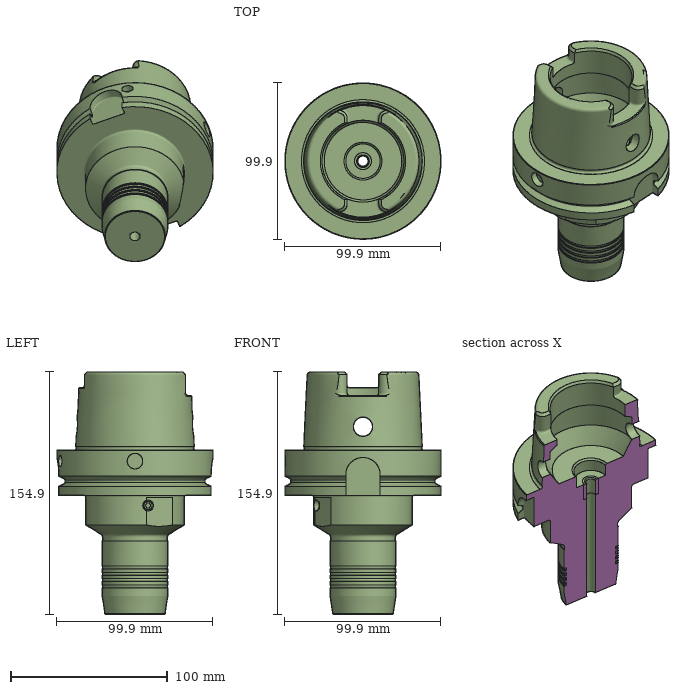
import cadquery as cq
import math


tip_radius = 19.4
tip_chamfer = 0.5
tip_cone_height = 11.5
sleeve_radius = 21.0
sleeve_top = 46.8
neck_radius = 20.8
neck_top = 49.3
neck_fillet_reach = 1.1
neck_fillet_top = 51.1
collar_radius = 31.6
collar_bottom = 57.2
collar_fillet = 1.2

flange_diameter = 99.9
flange_radius = flange_diameter / 2
flange_bottom = 76.0
flange_top = 105.0
flange_chamfer = 0.3
groove_floor_radius = 46.2
groove_bottom = 81.8
groove_top = 88.3
groove_side_height = 1.9
groove_fillet = 1.0

total_height = 154.9
relief_radius = 37.6
relief_fillet = 1.1
face_recess_radius = 39.3
face_recess_depth = 0.2
relief_top = 106.3
taper_bottom = 107.3
taper_base_radius = 38.0
taper_top_radius = 35.8
taper_top_fillet = 2.2

bore_radius = 26.2
bore_chamfer_width = 1.1
bore_chamfer_height = 1.7
bore_bottom = 135.0
undercut_radius = 31.5
undercut_top = 132.0
undercut_bottom = 114.3
bore_floor_radius = 24.8
bore_floor = 102.9
pocket_radius = 11.0
pocket_chamfer = 1.1
pocket_depth = 9.3
pocket_floor = bore_floor - pocket_depth

slot_half_width = 10.0
slot_corner_radius = 5.1
lobe_half_depth = 32.4
slot_floor_fillet = 1.5
slot_rim_chamfer = 1.7
slot_edge_chamfer = 0.6
front_slot_floor = 139.9
back_slot_floor = 144.8
slot_reach = 46.5
slot_wall_length = 18.6

cross_hole_radius = 6.0
cross_hole_height = 119.9
keyway_half_width = 11.0
keyway_top = 100.2
keyway_floor_distance = 44.0
keyway_floor_fillet = 0.5
flange_hole_height = 97.9
chip_hole_radius = 5.0
chip_hole_depth = 4.6
side_hole_radius = 3.5
side_hole_depth = 4.6
side_hole_angle = 106.8

flat_distance = 30.0
flat_top = 74.5
flat_angle = 211.4

ring_count = 4
lowest_ring_height = 17.8
ring_pitch = 4.0
ring_section_radius = 1.0
ring_center_radius = 20.0

bleed_offset = -8.4
bleed_height = 69.5
bleed_recess_radius = 3.4
bleed_head_distance = 27.9
bleed_screw_radius = 2.6
bleed_screw_length = 7.7
bleed_socket_width = 3.0
bleed_socket_depth = 2.3

stop_screw_radius = 5.4
stop_screw_length = 12.4
coolant_radius = 3.3
coolant_chamfer = 0.8


def radial_cylinder(radius, angle, inner_distance, outer_distance, height):
    """Horizontal cylinder on a line through the axis, between two distances from the axis."""
    length = outer_distance - inner_distance
    cylinder = cq.Workplane("YZ").circle(radius).extrude(length)
    cylinder = cylinder.translate((inner_distance, 0, height))
    return cylinder.rotate((0, 0, 0), (0, 0, 1), angle)


def outer_body():
    """Turned outside of the holder, solid inside."""
    arc = math.sqrt(0.5)
    top_arc_radius = taper_top_radius - taper_top_fillet * (1 - arc)
    top_arc_height = total_height - taper_top_fillet * (1 - arc)
    recess_floor = flange_top - face_recess_depth
    relief_arc_radius = relief_radius + relief_fillet * (1 - arc)
    relief_arc_height = recess_floor + relief_fillet * (1 - arc)
    collar_arc_radius = collar_radius + collar_fillet * (1 - arc)
    collar_arc_height = flange_bottom - collar_fillet * (1 - arc)
    profile = (
        cq.Workplane("XZ")
        .moveTo(0, 0)
        .lineTo(tip_radius - tip_chamfer, 0)
        .lineTo(tip_radius, tip_chamfer)
        .lineTo(sleeve_radius, tip_cone_height)
        .lineTo(sleeve_radius, sleeve_top)
        .lineTo(neck_radius, sleeve_top)
        .lineTo(neck_radius, neck_top)
        .tangentArcPoint((neck_radius + neck_fillet_reach, neck_fillet_top), relative=False)
        .lineTo(collar_radius, collar_bottom)
        .lineTo(collar_radius, flange_bottom - collar_fillet)
        .threePointArc((collar_arc_radius, collar_arc_height), (collar_radius + collar_fillet, flange_bottom))
        .lineTo(flange_radius, flange_bottom)
        .lineTo(flange_radius, flange_top - flange_chamfer)
        .lineTo(flange_radius - flange_chamfer, flange_top)
        .lineTo(face_recess_radius, flange_top)
        .lineTo(face_recess_radius, recess_floor)
        .lineTo(relief_radius + relief_fillet, recess_floor)
        .threePointArc((relief_arc_radius, relief_arc_height), (relief_radius, recess_floor + relief_fillet))
        .lineTo(relief_radius, relief_top)
        .lineTo(taper_base_radius, taper_bottom)
        .lineTo(taper_top_radius, total_height - taper_top_fillet)
        .threePointArc((top_arc_radius, top_arc_height), (taper_top_radius - taper_top_fillet, total_height))
        .lineTo(0, total_height)
        .close()
    )
    return profile.revolve(360, (0, 0, 0), (0, 1, 0))


def groove_cutter():
    """V-sided gripper groove around the flange, with filleted floor corners."""
    ring = (
        cq.Workplane("XZ")
        .moveTo(flange_radius, groove_bottom)
        .lineTo(groove_floor_radius, groove_bottom + groove_side_height)
        .lineTo(groove_floor_radius, groove_top - groove_side_height)
        .lineTo(flange_radius, groove_top)
        .close()
        .revolve(360, (0, 0, 0), (0, 1, 0))
    )
    return ring.edges(cq.selectors.RadiusNthSelector(0)).fillet(groove_fillet)


def bore_cutter():
    """Stepped bore of the taper, the seat of the stop screw and the coolant passage."""
    screw_bottom = pocket_floor - stop_screw_length
    profile = (
        cq.Workplane("XZ")
        .moveTo(0, 0)
        .lineTo(coolant_radius, 0)
        .lineTo(coolant_radius, screw_bottom)
        .lineTo(stop_screw_radius, screw_bottom)
        .lineTo(stop_screw_radius, pocket_floor)
        .lineTo(pocket_radius, pocket_floor)
        .lineTo(pocket_radius, bore_floor - pocket_chamfer)
        .lineTo(pocket_radius + pocket_chamfer, bore_floor)
        .lineTo(bore_floor_radius, bore_floor)
        .lineTo(undercut_radius, undercut_bottom)
        .lineTo(undercut_radius, undercut_top)
        .lineTo(bore_radius, bore_bottom)
        .lineTo(bore_radius, total_height - bore_chamfer_height)
        .lineTo(bore_radius + bore_chamfer_width, total_height)
        .lineTo(0, total_height)
        .close()
    )
    return profile.revolve(360, (0, 0, 0), (0, 1, 0))


def slot_plan(height, margin):
    """Plan of a drive slot towards +Y: a straight slot that opens out around rounded lobe corners.

    Past each corner the wall runs on square to the line from the axis to the center of the corner.
    The margin widens the slot on both sides.
    """
    half_width = slot_half_width + margin
    corner = slot_corner_radius - margin
    corner_x = slot_half_width + slot_corner_radius
    corner_y = lobe_half_depth - slot_corner_radius
    end_angle = math.atan2(corner_y, corner_x)
    middle_angle = (math.pi + end_angle) / 2
    end_x = corner_x + corner * math.cos(end_angle)
    end_y = corner_y + corner * math.sin(end_angle)
    middle_x = corner_x + corner * math.cos(middle_angle)
    middle_y = corner_y + corner * math.sin(middle_angle)
    outer_x = end_x + slot_wall_length * math.sin(end_angle)
    outer_y = end_y - slot_wall_length * math.cos(end_angle)
    return (
        cq.Workplane("XY", origin=(0, 0, height))
        .moveTo(-half_width, 0)
        .lineTo(half_width, 0)
        .lineTo(half_width, corner_y)
        .threePointArc((middle_x, middle_y), (end_x, end_y))
        .lineTo(outer_x, outer_y)
        .lineTo(outer_x, slot_reach)
        .lineTo(-outer_x, slot_reach)
        .lineTo(-outer_x, outer_y)
        .lineTo(-end_x, end_y)
        .threePointArc((-middle_x, middle_y), (-half_width, corner_y))
        .close()
    )


def slot_cutter(floor_height):
    """Drive slot towards +Y, with a filleted floor and a chamfered rim."""
    rim_height = total_height - slot_rim_chamfer
    slot = slot_plan(floor_height, 0).extrude(total_height - floor_height)
    slot = slot.faces("<Z").edges().fillet(slot_floor_fillet)
    lower_outline = slot_plan(rim_height, 0).wires().val()
    upper_outline = slot_plan(total_height, slot_rim_chamfer).wires().val()
    rim = cq.Solid.makeLoft([lower_outline, upper_outline], True)
    return slot.union(cq.Workplane(rim))


def slot_edge_cutter(floor_height):
    """Small chamfer along the outer edge of a slot floor."""
    taper_slope = (taper_base_radius - taper_top_radius) / (total_height - taper_top_fillet - taper_bottom)
    edge_radius = taper_base_radius - taper_slope * (floor_height - taper_bottom)
    ring = (
        cq.Workplane("XZ")
        .moveTo(edge_radius - slot_edge_chamfer, floor_height)
        .lineTo(edge_radius + slot_edge_chamfer, floor_height)
        .lineTo(edge_radius + slot_edge_chamfer, floor_height - 2 * slot_edge_chamfer)
        .close()
        .revolve(360, (0, 0, 0), (0, 1, 0))
    )
    width = 2 * (slot_half_width + slot_corner_radius)
    slot_side = cq.Workplane("XY").box(width, slot_reach, total_height, centered=(True, False, False))
    return ring.intersect(slot_side)


def keyway_cutter():
    """Round-topped keyway towards +Y, open at the bottom of the flange."""
    arch_center = keyway_top - keyway_half_width
    keyway = (
        cq.Workplane("XZ", origin=(0, keyway_floor_distance, 0))
        .moveTo(-keyway_half_width, flange_bottom)
        .lineTo(keyway_half_width, flange_bottom)
        .lineTo(keyway_half_width, arch_center)
        .threePointArc((0, keyway_top), (-keyway_half_width, arch_center))
        .close()
        .extrude(keyway_floor_distance - flange_radius)
    )
    return keyway.faces("<Y").edges("not <Z").fillet(keyway_floor_fillet)


def flat_cutter():
    """Flat on the collar for the bleed screw."""
    depth = collar_radius - flat_distance + collar_fillet
    block = cq.Workplane("XY").box(depth, 2 * collar_radius, flat_top, centered=(False, True, False))
    return block.translate((flat_distance, 0, 0)).rotate((0, 0, 0), (0, 0, 1), flat_angle)


def bleed_cylinder(radius, inner_distance, outer_distance):
    """Cylinder on the bleed screw axis, which runs along X on the -X side."""
    plane = cq.Workplane("YZ", origin=(-outer_distance, bleed_offset, bleed_height))
    return plane.circle(radius).extrude(outer_distance - inner_distance)


def sealing_ring_groove(height):
    """Rectangular groove that a sealing ring fills from side to side."""
    width = 2 * ring_section_radius
    plane = cq.Workplane("XY", origin=(0, 0, height - ring_section_radius))
    return plane.circle(sleeve_radius).circle(ring_center_radius - ring_section_radius).extrude(width)


def make_housing():
    housing = outer_body().cut(groove_cutter()).cut(bore_cutter())
    for floor_height, turn in ((back_slot_floor, 0), (front_slot_floor, 180)):
        slot = slot_cutter(floor_height).union(slot_edge_cutter(floor_height))
        housing = housing.cut(slot.rotate((0, 0, 0), (0, 0, 1), turn))
        housing = housing.cut(keyway_cutter().rotate((0, 0, 0), (0, 0, 1), turn))
    cross_hole = radial_cylinder(
        cross_hole_radius, 90, -taper_base_radius, taper_base_radius, cross_hole_height
    )
    housing = housing.cut(cross_hole)
    for radius, depth, angle in (
        (chip_hole_radius, chip_hole_depth, 180),
        (side_hole_radius, side_hole_depth, side_hole_angle),
    ):
        hole = radial_cylinder(radius, angle, flange_radius - depth, flange_radius, flange_hole_height)
        housing = housing.cut(hole)
    housing = housing.cut(flat_cutter())
    housing = housing.cut(bleed_cylinder(bleed_recess_radius, bleed_head_distance, collar_radius))
    screw_seat_end = bleed_head_distance - bleed_screw_length
    housing = housing.cut(bleed_cylinder(bleed_screw_radius, screw_seat_end, bleed_head_distance))
    for height in ring_heights:
        housing = housing.cut(sealing_ring_groove(height))
    return housing


def make_sealing_ring(height):
    return cq.Solid.makeTorus(ring_center_radius, ring_section_radius, cq.Vector(0, 0, height))


def make_bleed_screw():
    """Set screw with a hexagon socket in its outer end."""
    screw = bleed_cylinder(bleed_screw_radius, bleed_head_distance - bleed_screw_length, bleed_head_distance)
    corner_diameter = bleed_socket_width / math.cos(math.pi / 6)
    plane = cq.Workplane("YZ", origin=(-bleed_head_distance, bleed_offset, bleed_height))
    return screw.cut(plane.polygon(6, corner_diameter).extrude(bleed_socket_depth))


def make_stop_screw():
    """Hollow screw below the pocket, chamfered where the coolant enters."""
    screw = (
        cq.Workplane("XY", origin=(0, 0, pocket_floor - stop_screw_length))
        .circle(stop_screw_radius)
        .circle(coolant_radius)
        .extrude(stop_screw_length)
    )
    inner_rim = screw.faces(">Z").edges(cq.selectors.RadiusNthSelector(0))
    return inner_rim.chamfer(coolant_chamfer)


ring_heights = [lowest_ring_height + index * ring_pitch for index in range(ring_count)]

housing = make_housing()
sealing_rings = [make_sealing_ring(height) for height in ring_heights]
bleed_screw = make_bleed_screw()
stop_screw = make_stop_screw()

result = cq.Compound.makeCompound([housing.val(), *sealing_rings, bleed_screw.val(), stop_screw.val()])